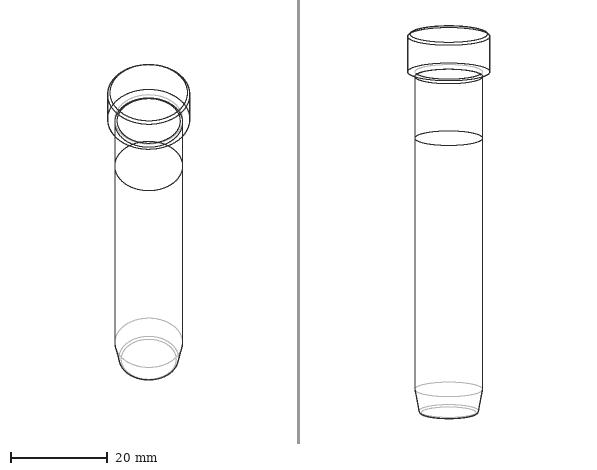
import cadquery as cq

total_length = 80.0
head_diameter = 17.0
head_height = 8.0
head_chamfer = 0.5
shank_diameter = 14.0

groove_width = 1.0

joint_depth = 22.0

lead_height = 5.0
lead_end_radius = 6.1
end_fillet = 0.5

head_radius = head_diameter / 2
shank_radius = shank_diameter / 2
groove_bed_radius = shank_radius - groove_width / 2
head_bottom = total_length - head_height
groove_bottom = head_bottom - groove_width
groove_middle = groove_bottom + groove_width / 2
joint_level = total_length - joint_depth


def make_headed_body():
    """Round head, half-round relief groove and upper shank."""
    body = (
        cq.Workplane("XZ")
        .moveTo(0, joint_level)
        .lineTo(shank_radius, joint_level)
        .lineTo(shank_radius, groove_bottom)
        .threePointArc((groove_bed_radius, groove_middle), (shank_radius, head_bottom))
        .lineTo(head_radius, head_bottom)
        .lineTo(head_radius, total_length)
        .lineTo(0, total_length)
        .close()
        .revolve(360, (0, 0, 0), (0, 1, 0))
    )
    return body.faces(">Z").edges().chamfer(head_chamfer)


def make_lower_pin():
    """Straight pin with a conical lead-in and a rounded end."""
    pin = (
        cq.Workplane("XZ")
        .lineTo(lead_end_radius, 0)
        .lineTo(shank_radius, lead_height)
        .lineTo(shank_radius, joint_level)
        .lineTo(0, joint_level)
        .close()
        .revolve(360, (0, 0, 0), (0, 1, 0))
    )
    return pin.faces("<Z").edges().fillet(end_fillet)


headed_body = make_headed_body()
lower_pin = make_lower_pin()

result = cq.Compound.makeCompound([headed_body.val(), lower_pin.val()])